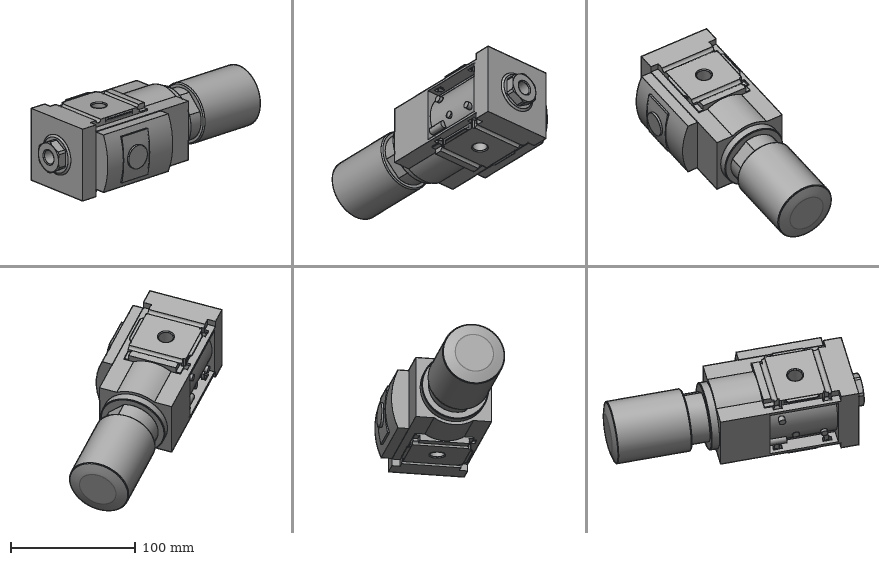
import cadquery as cq
import math


TOTAL_WIDTH = 78.5
TOTAL_LENGTH = 209.0

BODY_WIDTH = 62.0
HALF_WIDTH = BODY_WIDTH / 2
BODY_LENGTH = 114.2
BASE_LENGTH = 14.6
SLAB_THICKNESS = 50.8
BARREL_DIAMETER = 60.2

PAD_WIDTH = 48.5
PAD_END = 76.3
PORT_Y = 45.4
PORT_DIAMETER = 12.0
PORT_CHAMFER = 0.8
PORT_DEPTH = 16.7
GROOVE_RADIUS = 2.5
GROOVE_OFFSET = 22.2
NOTCH_WIDTH = 4.0
NOTCH_LENGTH = 8.8
NOTCH_FLOOR = 26.5
RAIL_PROJECTION = 2.7
RAIL_LENGTH = 29.3
RAIL_BOTTOM = 27.2
RAIL_SET_BACK = 0.2

SLOT_OFFSET = 20.5
SLOT_WIDTH = 7.1
SLOT_REACH = 3.3
SLOT_INSET = 0.2
SLOT_NECK_WIDTH = 4.0
SLOT_NECK_REACH = 2.3

WINDOW_START = 17.0
WINDOW_END = 73.2
WINDOW_HEIGHT = 46.2
WINDOW_FLOOR = -19.7
CORE_DIAMETER = 57.7
PIN_DIAMETER = 5.5
PIN_END = -30.1
PIN_CENTRES = [(62.7, 11.0), (27.8, -11.0)]
STUD_DIAMETER = 5.9
STUD_END = -28.5
STUD_CENTRE = (51.2, -8.5)
ROD_DIAMETER = 6.3
ROD_LENGTH = 14.2
ROD_CENTRE = (-26.8, -13.5)

PLUG_COLLAR_DIAMETER = 33.9
PLUG_COLLAR_TIP_DIAMETER = 30.1
PLUG_COLLAR_HEIGHT = 1.3
PLUG_LENGTH = 9.0
HEX_ACROSS_FLATS = 24.3
HEX_EDGE_FLAT = 0.2
PLUG_FACE_CHAMFER = 1.3
PLUG_BORE_DIAMETER = 11.5
PLUG_BORE_CHAMFER = 0.8
PLUG_BORE_DEPTH = 16.7

GAUGE_END = 84.7
GAUGE_HEIGHT = 49.8
GAUGE_SIDE_X = 40.0
GAUGE_CREST_X = 45.2
FRAME_LENGTH = 28.0
FRAME_HEIGHT = 39.7
FRAME_SIDE_X = 43.5
FRAME_CREST_X = 45.8
LENS_DIAMETER = 20.0
LENS_X = TOTAL_WIDTH - HALF_WIDTH

FLANGE_DIAMETER = 55.0
FLANGE_LENGTH = 6.7
FLANGE_CHAMFER = 0.6
NECK_DIAMETER = 44.0
NECK_ACROSS_FLATS = 40.0
NECK_LENGTH = 15.3
KNOB_DIAMETER = 51.0
KNOB_END = TOTAL_LENGTH - PLUG_LENGTH
KNOB_RIM_CHAMFER = 1.0
KNOB_CROWN_HEIGHT = 2.5
KNOB_EDGE_CHAMFER = 0.6
KNOB_CROWN_FLAT_RADIUS = 15.7
KNOB_CROWN_BULGE = 0.31

KNOB_START = BODY_LENGTH + FLANGE_LENGTH + NECK_LENGTH


def box(x0, x1, y0, y1, z0, z1):
    """Block between the given limits."""
    return cq.Workplane("XY").box(x1 - x0, y1 - y0, z1 - z0, centered=False).translate((x0, y0, z0))


def rod_x(diameter, x0, x1, y, z):
    """Cylinder along X."""
    return cq.Workplane("YZ", origin=(x0, y, z)).circle(diameter / 2).extrude(x1 - x0)


def rod_y(diameter, y0, y1, x=0, z=0):
    """Cylinder along Y."""
    return cq.Workplane("XZ", origin=(x, y0, z)).circle(diameter / 2).extrude(y0 - y1)


def both_faces(shape):
    """A feature of the +Z side together with its mirror image on the -Z side."""
    return shape.union(shape.mirror("XY"))


def body_block():
    base = box(-HALF_WIDTH, HALF_WIDTH, 0, BASE_LENGTH, -HALF_WIDTH, HALF_WIDTH)
    half_slab = SLAB_THICKNESS / 2
    slab = box(-HALF_WIDTH, HALF_WIDTH, 0, BODY_LENGTH, -half_slab, half_slab)
    return base.union(slab).union(rod_y(BARREL_DIAMETER, 0, BODY_LENGTH))


def rail():
    """Rail on the -X side of the +Z pad: chamfered ends and a hollow underside."""
    root = -PAD_WIDTH / 2
    tip = root - RAIL_PROJECTION
    half = RAIL_LENGTH / 2
    half_tip = half - RAIL_PROJECTION
    top = HALF_WIDTH - RAIL_SET_BACK
    plan = [
        (root, PORT_Y - half),
        (tip, PORT_Y - half_tip),
        (tip, PORT_Y + half_tip),
        (root, PORT_Y + half),
    ]
    bar = cq.Workplane("XY", origin=(0, 0, RAIL_BOTTOM)).polyline(plan).close().extrude(top - RAIL_BOTTOM)
    hollow = rod_y(2 * RAIL_PROJECTION, PORT_Y - half, PORT_Y + half, tip, RAIL_BOTTOM)
    return bar.cut(hollow)


def pad():
    """The +Z port pad with its two corner notches and two rails."""
    half = PAD_WIDTH / 2
    shape = box(-half, half, 0, PAD_END, 0, HALF_WIDTH)
    notch = box(-half, NOTCH_WIDTH - half, PAD_END - NOTCH_LENGTH, PAD_END, NOTCH_FLOOR, HALF_WIDTH)
    shape = shape.cut(notch).cut(notch.mirror("YZ"))
    return shape.union(rail()).union(rail().mirror("YZ"))


def pad_grooves():
    """Two round grooves that cross the +Z pad along X."""
    half = PAD_WIDTH / 2
    grooves = cq.Workplane("XY")
    for side in (-1, 1):
        groove_y = PORT_Y + side * GROOVE_OFFSET
        grooves = grooves.union(rod_x(2 * GROOVE_RADIUS, -half, half, groove_y, HALF_WIDTH))
    return grooves


def bore_cutter(diameter, chamfer, depth):
    """Chamfered blind hole that opens upward at the origin."""
    radius = diameter / 2
    profile = [
        (0, 0),
        (radius + chamfer, 0),
        (radius, -chamfer),
        (radius, -depth),
        (0, -depth),
    ]
    return cq.Workplane("XZ").polyline(profile).close().revolve(360, (0, 0, 0), (0, 1, 0))


def clamp_slots():
    """T-shaped openings beside the +Z pad that run down into the window."""
    edge = -PAD_WIDTH / 2
    slots = cq.Workplane("XY")
    for side in (-1, 1):
        y = PORT_Y + side * SLOT_OFFSET
        half = SLOT_WIDTH / 2
        half_neck = SLOT_NECK_WIDTH / 2
        slots = slots.union(box(edge - SLOT_REACH, edge + SLOT_INSET, y - half, y + half, 0, HALF_WIDTH))
        slots = slots.union(box(edge, edge + SLOT_NECK_REACH, y - half_neck, y + half_neck, 0, HALF_WIDTH))
    return slots


def window_core():
    """Round core inside the window."""
    return rod_y(CORE_DIAMETER, 0, BODY_LENGTH)


def window_pocket():
    half = WINDOW_HEIGHT / 2
    return box(-HALF_WIDTH, WINDOW_FLOOR, WINDOW_START, WINDOW_END, -half, half)


def window_details():
    """Pins, stud and rod that stand on the core."""
    parts = rod_x(STUD_DIAMETER, STUD_END, WINDOW_FLOOR, *STUD_CENTRE)
    for y, z in PIN_CENTRES:
        parts = parts.union(rod_x(PIN_DIAMETER, PIN_END, WINDOW_FLOOR, y, z))
    return parts.union(rod_y(ROD_DIAMETER, WINDOW_END - ROD_LENGTH, WINDOW_END, *ROD_CENTRE))


def plug():
    """Tapered collar and hexagon on the -Y face, with two hexagon corners on the Z axis."""
    collar = (
        cq.Workplane("XZ")
        .circle(PLUG_COLLAR_DIAMETER / 2)
        .workplane(offset=PLUG_COLLAR_HEIGHT)
        .circle(PLUG_COLLAR_TIP_DIAMETER / 2)
        .loft()
    )
    flats_to_corners = 1 / math.cos(math.radians(30))
    corner_diameter = HEX_ACROSS_FLATS * flats_to_corners
    trim_diameter = (corner_diameter - 2 * HEX_EDGE_FLAT) * flats_to_corners
    hexagon = cq.Workplane("XZ").transformed(rotate=(0, 0, 30)).polygon(6, corner_diameter).extrude(PLUG_LENGTH)
    corner_trim = cq.Workplane("XZ").polygon(6, trim_diameter).extrude(PLUG_LENGTH)
    face_cone = rod_y(HEX_ACROSS_FLATS + 2 * PLUG_FACE_CHAMFER, -PLUG_LENGTH, 0)
    face_cone = face_cone.faces("<Y").chamfer(PLUG_FACE_CHAMFER / 2, PLUG_FACE_CHAMFER)
    return collar.union(hexagon.intersect(corner_trim).intersect(face_cone))


def plug_bore():
    bore = bore_cutter(PLUG_BORE_DIAMETER, PLUG_BORE_CHAMFER, PLUG_BORE_DEPTH)
    return bore.rotate((0, 0, 0), (1, 0, 0), 90).translate((0, -PLUG_LENGTH, 0))


def bowed_plate(y0, y1, height, side_x, crest_x):
    """Plate on the +X face whose outer face bows outward across Z."""
    half = height / 2
    return (
        cq.Workplane("XZ", origin=(0, y0, 0))
        .moveTo(HALF_WIDTH, -half)
        .lineTo(side_x, -half)
        .threePointArc((crest_x, 0), (side_x, half))
        .lineTo(HALF_WIDTH, half)
        .close()
        .extrude(y0 - y1)
    )


def gauge():
    plate = bowed_plate(BASE_LENGTH, GAUGE_END, GAUGE_HEIGHT, GAUGE_SIDE_X, GAUGE_CREST_X)
    half = FRAME_LENGTH / 2
    frame = bowed_plate(PORT_Y - half, PORT_Y + half, FRAME_HEIGHT, FRAME_SIDE_X, FRAME_CREST_X)
    lens = rod_x(LENS_DIAMETER, HALF_WIDTH, LENS_X, PORT_Y, 0)
    return plate.union(frame).union(lens)


def neck():
    """Flange and neck under the knob, with two flats that face +X+Z and -X-Z."""
    flange_end = BODY_LENGTH + FLANGE_LENGTH
    flange = rod_y(FLANGE_DIAMETER, BODY_LENGTH, flange_end).faces(">Y").chamfer(FLANGE_CHAMFER)
    half_flats = NECK_ACROSS_FLATS / 2
    half_round = NECK_DIAMETER / 2
    flats = box(-half_round, half_round, flange_end, KNOB_START, -half_flats, half_flats)
    flats = flats.rotate((0, 0, 0), (0, 1, 0), 45)
    return flange.union(rod_y(NECK_DIAMETER, flange_end, KNOB_START).intersect(flats))


def make_housing():
    shape = body_block().union(both_faces(pad())).cut(both_faces(pad_grooves()))
    shape = shape.cut(both_faces(clamp_slots()).cut(window_core()))
    shape = shape.cut(window_pocket().cut(window_core())).union(window_details())
    port = bore_cutter(PORT_DIAMETER, PORT_CHAMFER, PORT_DEPTH).translate((0, PORT_Y, HALF_WIDTH))
    shape = shape.cut(both_faces(port))
    shape = shape.union(plug()).cut(plug_bore())
    return shape.union(gauge()).union(neck())


def make_knob():
    """Solid of revolution with a chamfered rim and a crowned end."""
    radius = KNOB_DIAMETER / 2
    crown_radius = radius - KNOB_EDGE_CHAMFER
    crown_start = KNOB_END - KNOB_CROWN_HEIGHT
    crown_middle = (
        (crown_radius + KNOB_CROWN_FLAT_RADIUS) / 2,
        KNOB_END - KNOB_CROWN_HEIGHT / 2 + KNOB_CROWN_BULGE,
    )
    return (
        cq.Workplane("XY")
        .moveTo(0, KNOB_START)
        .lineTo(radius - KNOB_RIM_CHAMFER, KNOB_START)
        .lineTo(radius, KNOB_START + KNOB_RIM_CHAMFER)
        .lineTo(radius, crown_start - KNOB_EDGE_CHAMFER)
        .lineTo(crown_radius, crown_start)
        .threePointArc(crown_middle, (KNOB_CROWN_FLAT_RADIUS, KNOB_END))
        .lineTo(0, KNOB_END)
        .close()
        .revolve(360, (0, 0, 0), (0, 1, 0))
    )


housing = make_housing()
knob = make_knob()

result = cq.Compound.makeCompound([housing.val(), knob.val()])